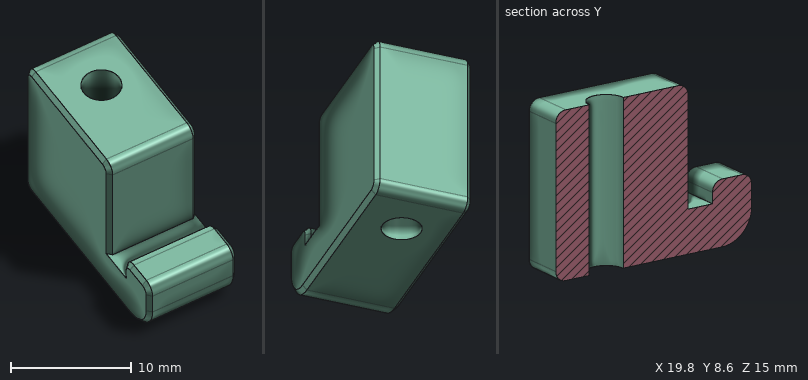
import cadquery as cq

length = 19.78
width = 8.6
height = 15.0

block_length = 13.37
ledge_height = 4.0
hook_height = 6.0
hook_thickness = 4.0
hook_start = length - hook_thickness

corner_radius = 1.0
heel_radius = 3.0
edge_chamfer = 0.4

hole_diameter = 3.4
hole_x = 5.1
hole_y = width / 2


def box_between(x_start, x_end, z_start, z_end):
    """Full-width box between two X and two Z positions."""
    size_x = x_end - x_start
    size_z = z_end - z_start
    box = cq.Workplane("XY").box(size_x, width, size_z, centered=False)
    return box.translate((x_start, 0, z_start))


def chamfer_sides(body):
    """Chamfer the whole outline of the two Y faces."""
    return body.faces("<Y or >Y").edges().chamfer(edge_chamfer)


def make_base():
    """Foot up to the ledge; its top edges stay sharp because the chamfered top is trimmed off."""
    foot = box_between(0, length, 0, hook_height)
    foot = foot.edges("|Y and <X and <Z").fillet(corner_radius)
    foot = foot.edges("|Y and >X and <Z").fillet(heel_radius)
    return chamfer_sides(foot).intersect(box_between(0, length, 0, ledge_height))


def make_upright(x_start, x_end, top):
    """Chamfered upright with a rounded top, trimmed to start at the ledge."""
    upright = box_between(x_start, x_end, 0, top)
    upright = upright.edges("|Y and >Z").fillet(corner_radius)
    return chamfer_sides(upright).intersect(box_between(x_start, x_end, ledge_height, top))


def make_hole():
    """Cylinder for the vertical hole through the block."""
    return cq.Workplane("XY").center(hole_x, hole_y).circle(hole_diameter / 2).extrude(height)


block = make_upright(0, block_length, height)
hook = make_upright(hook_start, length, hook_height)
result = make_base().union(block).union(hook).clean().cut(make_hole())